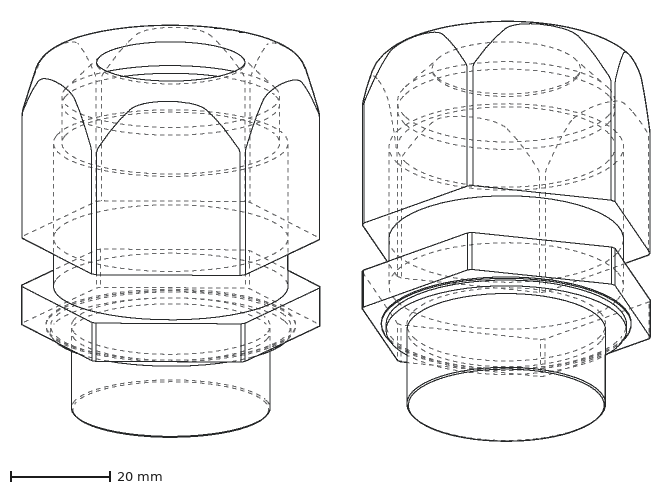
import cadquery as cq
import math


across_flats = 52.6
across_corners = across_flats / math.cos(math.radians(30))

thread_top = 16.3
washer_top = 17.6
flange_bottom = 17.85
flange_top = 25.9
cap_bottom = 36.1
plug_bottom = 56.1
plug_top = 64.3
cavity_shoulder = 65.9
cap_top = 73.8

thread_radius = 20.1
thread_chamfer = 0.3
washer_radius = 24.3
boss_radius = 25.25
collar_radius = 23.7
flange_corner_diameter = 60.2

cap_corner_radius = 30.05
cap_shoulder_fillet = 4.8
cap_face_radius = 23.5
cap_rim_fillet = 4.1
cap_cone_angle = 17.0
mouth_radius = 15.0
mouth_fillet = 0.8
cavity_radius = 22.0


def cylinder(radius, bottom, top):
    return cq.Workplane("XY").workplane(offset=bottom).circle(radius).extrude(top - bottom)


def hexagon(bottom, top):
    """Hexagonal prism with corners on the Y axis."""
    return (
        cq.Workplane("XY")
        .workplane(offset=bottom)
        .transformed(rotate=(0, 0, 90))
        .polygon(6, across_corners)
        .extrude(top - bottom)
    )


def crown_envelope():
    """Turned outside of the cap: flat face, rounded rim, steep cone and corner radius."""
    angle = math.radians(cap_cone_angle)
    half_sweep = (math.pi / 2 - angle) / 2
    arc_center_z = cap_top - cap_rim_fillet

    def rim_point(sweep):
        """Point on the rim arc, with sweep measured from the flat face."""
        return (
            cap_face_radius + cap_rim_fillet * math.sin(sweep),
            arc_center_z + cap_rim_fillet * math.cos(sweep),
        )

    cone_top_radius, cone_top_z = rim_point(2 * half_sweep)
    cone_bottom_z = cone_top_z - (cap_corner_radius - cone_top_radius) / math.tan(angle)
    envelope = (
        cq.Workplane("XZ")
        .moveTo(0, cap_bottom)
        .lineTo(cap_corner_radius, cap_bottom)
        .lineTo(cap_corner_radius, cone_bottom_z)
        .lineTo(cone_top_radius, cone_top_z)
        .threePointArc(rim_point(half_sweep), (cap_face_radius, cap_top))
        .lineTo(0, cap_top)
        .close()
        .revolve(360, (0, 0, 0), (0, 1, 0))
    )
    shoulder = envelope.edges(cq.selectors.NearestToPointSelector((0, 0, cone_bottom_z)))
    return shoulder.fillet(cap_shoulder_fillet)


def cap_cavity():
    """Rounded mouth, conical chamber, plug seat and collar socket."""
    mouth_round_bottom = cap_top - mouth_fillet
    mouth_outer_radius = mouth_radius + mouth_fillet
    arc_offset = mouth_fillet * math.sqrt(0.5)
    return (
        cq.Workplane("XZ")
        .moveTo(0, cap_bottom)
        .lineTo(collar_radius, cap_bottom)
        .lineTo(collar_radius, plug_bottom)
        .lineTo(cavity_radius, plug_bottom)
        .lineTo(cavity_radius, cavity_shoulder)
        .lineTo(mouth_radius, mouth_round_bottom)
        .threePointArc(
            (mouth_outer_radius - arc_offset, mouth_round_bottom + arc_offset),
            (mouth_outer_radius, cap_top),
        )
        .lineTo(0, cap_top)
        .close()
        .revolve(360, (0, 0, 0), (0, 1, 0))
    )


def make_cap_nut():
    blank = hexagon(cap_bottom, cap_top)
    return blank.intersect(crown_envelope()).cut(cap_cavity()).solids()


def make_body():
    thread = cylinder(thread_radius, 0, washer_top).faces("<Z").chamfer(thread_chamfer)
    boss = cylinder(boss_radius, washer_top, flange_bottom)
    corner_trim = cylinder(flange_corner_diameter / 2, flange_bottom, flange_top)
    flange = hexagon(flange_bottom, flange_top).intersect(corner_trim)
    collar = cylinder(collar_radius, flange_top, plug_bottom)
    return thread.union(boss).union(flange).union(collar).solids()


def make_washer():
    """Flat sealing ring around the thread, under the flange."""
    ring = cylinder(washer_radius, thread_top, washer_top)
    return ring.cut(cylinder(thread_radius, thread_top, washer_top)).solids()


def make_plug():
    """Sealing disc resting on the body and held inside the cap."""
    return cylinder(cavity_radius, plug_bottom, plug_top)


cap_nut = make_cap_nut()
body = make_body()
washer = make_washer()
plug = make_plug()

result = cq.Compound.makeCompound([cap_nut.val(), body.val(), washer.val(), plug.val()])